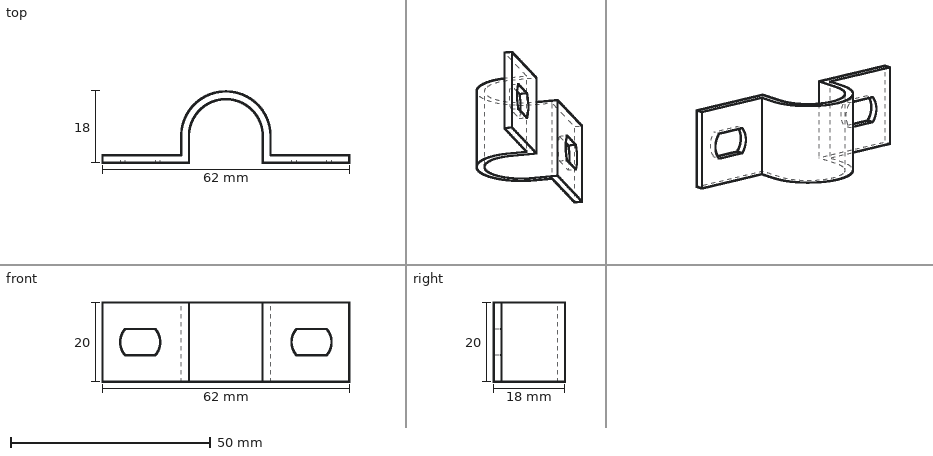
import cadquery as cq

overall_length = 62.0
overall_depth = 18.0
strap_width = 20.0
thickness = 2.0
inner_radius = 9.25
hole_spacing = 43.0
hole_diameter = 10.0
hole_height = 6.5

outer_radius = inner_radius + thickness
half_length = overall_length / 2
flange_face_y = outer_radius - overall_depth
flange_back_y = flange_face_y + thickness


def make_strap():
    """Saddle profile in XY (two flanges, straight legs, half-round arch) extruded along Z."""
    return (
        cq.Workplane("XY")
        .workplane(offset=-strap_width / 2)
        .moveTo(-half_length, flange_face_y)
        .lineTo(-inner_radius, flange_face_y)
        .lineTo(-inner_radius, 0)
        .threePointArc((0, inner_radius), (inner_radius, 0))
        .lineTo(inner_radius, flange_face_y)
        .lineTo(half_length, flange_face_y)
        .lineTo(half_length, flange_back_y)
        .lineTo(outer_radius, flange_back_y)
        .lineTo(outer_radius, 0)
        .threePointArc((0, outer_radius), (-outer_radius, 0))
        .lineTo(-outer_radius, flange_back_y)
        .lineTo(-half_length, flange_back_y)
        .close()
        .extrude(strap_width)
    )


def make_hole_cutter(center_x):
    """Round hole with flats above and below, passing through one flange along Y."""
    plane = cq.Workplane("XZ", origin=(center_x, flange_face_y, 0))
    round_hole = plane.circle(hole_diameter / 2).extrude(-thickness)
    flats = plane.rect(hole_diameter, hole_height).extrude(-thickness)
    return round_hole.intersect(flats)


result = make_strap()
for side in (-1, 1):
    result = result.cut(make_hole_cutter(side * hole_spacing / 2))